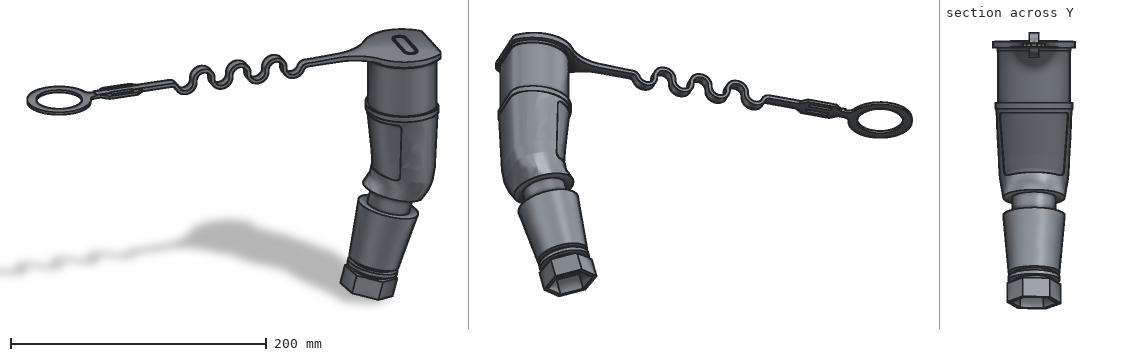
import cadquery as cq
import math


LID_RADIUS = 32.19
LID_FLAT = 23.1
LID_CORNER = 5.7
LID_THICKNESS = 4.8
LID_CREST_Y = -20.0
LID_REAR_DROP = 0.7
LID_SLOPE_END = -75.2
LID_FLARE_START = -55.0
SKIRT_DEPTH = 2.3
SKIRT_RADIUS = 28.8
BADGE_LENGTH = 36.0
BADGE_WIDTH = 11.0
BADGE_RIM = 1.2
BADGE_HEIGHT = 0.6
BADGE_Y = 0.9

STRAP_WIDTH = 7.6
STRAP_THICKNESS = 3.0
STRAP_MID_Z = -2.65
STRAP_TOP = STRAP_MID_Z + STRAP_THICKNESS / 2
STRAP_BOTTOM = STRAP_MID_Z - STRAP_THICKNESS / 2
WAVE_HEIGHT = 19.1
WAVE_CREST_RADIUS = 7.5
WAVE_PITCH = 4 * WAVE_CREST_RADIUS
WAVE_TROUGHS = 4
WAVE_CENTRE_Y = -138.0
WAVE_BEND_RADIUS = 5.0

LOOP_START = -219.3
LOOP_END = -254.0
LOOP_CHAMFER_LENGTH = 5.8
LOOP_HALF_WIDTH = 8.7
LOOP_THICKNESS = 2.4
SLOT_INNER_X = 2.5
SLOT_OUTER_X = 5.6
SLOT_LENGTH = 18.0
STRAP_END = -257.5
RING_THICKNESS = 2.2
RING_OUTER_RADIUS = 25.0
RING_INNER_RADIUS = 18.0
RING_FILLET = 5.0
OVERALL_LENGTH = 335.54
RING_CENTRE_Y = LID_FLAT - OVERALL_LENGTH + RING_OUTER_RADIUS

BODY_RADIUS = 28.2
BODY_FLAT = 22.1
COLLAR_TOP = -48.1
COLLAR_BOTTOM = -52.5
COLLAR_RADIUS = 30.2
COLLAR_FLAT = 23.1
BODY_CORNER = 14.0

TILT = 15.0
PIVOT_Z = -87.6
GRIP_TOP = (29.9, 29.5, 22.9, 17.0)
GRIP_BEND = (7.5, 27.6, 24.8, 23.3, 14.0)
GRIP_WAIST = (17.8, 26.9, 21.4, 24.0, 14.0)
GRIP_FLARE = (26.4, 25.5, 20.5, 23.8, 16.0)
GRIP_END = (35.7, 24.1, 24.1, 24.0, 23.9)
PANEL_DEPTH = 0.5
PANEL_TOP = -55.7
PANEL_SIDE_Y = -11.8
PANEL_BOTTOM = 20.6
PANEL_CORNER = 3.5

NECK_RADIUS = 17.0
CONE_TOP = 50.2
CONE_BOTTOM = 96.4
CONE_TOP_RADIUS = 24.2
CONE_BOTTOM_RADIUS = 20.0
CORE_RADIUS = 15.0
WASHER_TOP = 99.6
WASHER_BOTTOM = 102.6
WASHER_RADIUS = 20.0
NUT_TOP = 105.6
NUT_BOTTOM = 120.7
NUT_CORNER_RADIUS = 21.2
NUT_SOCKET_RADIUS = 18.2
NUT_ROOF = 2.0
NUT_TURN = 6.0


def tilted_plane(distance):
    """Plane square to the tail axis; local Y points to +Y and the normal points up the tail."""
    lean = math.radians(TILT)
    origin = (0, -distance * math.sin(lean), PIVOT_Z - distance * math.cos(lean))
    return cq.Plane(origin, (1, 0, 0), (0, math.sin(lean), math.cos(lean)))


def level_plane(z):
    return cq.Plane((0, 0, z), (1, 0, 0), (0, 0, 1))


def flatted_circle(plane, radius, flat, corner, centre_y=0):
    """Circle cut by a flat on its +Y side, with rounded corners tangent to both."""
    corner_x = math.sqrt((radius - corner) ** 2 - (flat - corner) ** 2)
    angle = math.atan2(flat - corner, corner_x)
    tangent_x = radius * math.cos(angle)
    tangent_y = radius * math.sin(angle)
    middle = (angle + math.pi / 2) / 2
    bulge_x = corner_x + corner * math.cos(middle)
    bulge_y = flat - corner + corner * math.sin(middle)
    return (
        cq.Workplane(plane)
        .center(0, centre_y)
        .moveTo(-corner_x, flat)
        .lineTo(corner_x, flat)
        .threePointArc((bulge_x, bulge_y), (tangent_x, tangent_y))
        .threePointArc((0, -radius), (-tangent_x, tangent_y))
        .threePointArc((-bulge_x, bulge_y), (-corner_x, flat))
        .close()
    )


def block(x_size, y_start, y_end, bottom, top):
    return (
        cq.Workplane("XY")
        .box(x_size, abs(y_end - y_start), top - bottom)
        .translate((0, (y_start + y_end) / 2, (bottom + top) / 2))
    )


def lid():
    disc = flatted_circle(level_plane(-LID_THICKNESS), LID_RADIUS, LID_FLAT, LID_CORNER)
    disc = disc.extrude(LID_THICKNESS)

    half = STRAP_WIDTH / 2
    flare_radius = (half**2 + LID_FLARE_START**2 - LID_RADIUS**2) / (2 * (LID_RADIUS - half))
    centre_x = half + flare_radius
    angle = math.atan2(LID_FLARE_START, centre_x)
    touch = (LID_RADIUS * math.cos(angle), LID_RADIUS * math.sin(angle))
    middle = math.pi + angle / 2
    bulge = (
        centre_x + flare_radius * math.cos(middle),
        LID_FLARE_START + flare_radius * math.sin(middle),
    )
    flare = (
        cq.Workplane("XY", origin=(0, 0, STRAP_BOTTOM))
        .moveTo(-half, LID_FLARE_START)
        .lineTo(half, LID_FLARE_START)
        .threePointArc(bulge, touch)
        .lineTo(-touch[0], touch[1])
        .threePointArc((-bulge[0], bulge[1]), (-half, LID_FLARE_START))
        .close()
        .extrude(-STRAP_BOTTOM)
    )
    thick_strap = block(STRAP_WIDTH, LID_FLARE_START, LID_SLOPE_END, STRAP_BOTTOM, 0)
    above_arch = (
        cq.Workplane("YZ")
        .moveTo(LID_FLAT, -LID_REAR_DROP)
        .threePointArc((LID_CREST_Y, 0), (LID_SLOPE_END, STRAP_TOP))
        .lineTo(LID_SLOPE_END, LID_THICKNESS)
        .lineTo(LID_FLAT, LID_THICKNESS)
        .close()
        .extrude(2 * LID_RADIUS, both=True)
    )
    plate = disc.union(flare).union(thick_strap).cut(above_arch)

    skirt_bottom = level_plane(-LID_THICKNESS - SKIRT_DEPTH)
    skirt = flatted_circle(skirt_bottom, SKIRT_RADIUS, BODY_FLAT + SKIRT_RADIUS - BODY_RADIUS, BODY_CORNER)
    return plate.union(skirt.extrude(SKIRT_DEPTH))


def badge():
    """Raised stadium-shaped rim on top of the lid, rooted just below its surface."""
    base = cq.Workplane("XY", origin=(0, BADGE_Y, -LID_REAR_DROP))
    height = LID_REAR_DROP + BADGE_HEIGHT
    outside = base.slot2D(BADGE_LENGTH, BADGE_WIDTH).extrude(height)
    inside = base.slot2D(BADGE_LENGTH - 2 * BADGE_RIM, BADGE_WIDTH - 2 * BADGE_RIM).extrude(height)
    return outside.cut(inside)


def strap():
    """Flat strip swept along a level line with a run of semicircular waves in the middle."""
    rise = (WAVE_HEIGHT - STRAP_THICKNESS) / 2
    crest_offset = rise - WAVE_CREST_RADIUS
    reach = WAVE_CREST_RADIUS + WAVE_BEND_RADIUS
    bend_offset = math.sqrt(reach**2 - (WAVE_BEND_RADIUS - crest_offset) ** 2)
    lean = math.asin((WAVE_BEND_RADIUS - crest_offset) / reach)
    trough_z = STRAP_MID_Z - crest_offset
    crest_z = STRAP_MID_Z + crest_offset
    bend_z = STRAP_MID_Z - WAVE_BEND_RADIUS
    first = WAVE_CENTRE_Y + WAVE_PITCH * (WAVE_TROUGHS - 1) / 2
    last = first - WAVE_PITCH * (WAVE_TROUGHS - 1)
    touch_y = WAVE_CREST_RADIUS * math.cos(lean)
    touch_z = trough_z - WAVE_CREST_RADIUS * math.sin(lean)
    half_turn = (math.pi / 2 + lean) / 2
    bulge_y = WAVE_BEND_RADIUS * math.sin(half_turn)
    bulge_z = bend_z + WAVE_BEND_RADIUS * math.cos(half_turn)

    path = cq.Workplane("YZ").moveTo(LID_FLARE_START, STRAP_MID_Z)
    path = path.lineTo(first + bend_offset, STRAP_MID_Z)
    path = path.threePointArc((first + bend_offset - bulge_y, bulge_z), (first + touch_y, touch_z))
    for index in range(WAVE_TROUGHS):
        trough = first - index * WAVE_PITCH
        bottom = (trough, STRAP_MID_Z - rise)
        if index == WAVE_TROUGHS - 1:
            path = path.threePointArc(bottom, (last - touch_y, touch_z))
            break
        crest = trough - WAVE_PITCH / 2
        path = path.threePointArc(bottom, (trough - WAVE_CREST_RADIUS, trough_z))
        path = path.lineTo(trough - WAVE_CREST_RADIUS, crest_z)
        path = path.threePointArc((crest, STRAP_MID_Z + rise), (crest - WAVE_CREST_RADIUS, crest_z))
        path = path.lineTo(crest - WAVE_CREST_RADIUS, trough_z)
    path = path.threePointArc((last - bend_offset + bulge_y, bulge_z), (last - bend_offset, STRAP_MID_Z))
    path = path.lineTo(STRAP_END, STRAP_MID_Z)

    profile = cq.Workplane("XZ", origin=(0, LID_FLARE_START, STRAP_MID_Z))
    return profile.rect(STRAP_WIDTH, STRAP_THICKNESS).sweep(path)


def add_loops(strip):
    """Chamfered wings on both sides of the strap, each with a long slot."""
    half = STRAP_WIDTH / 2
    middle_y = (LOOP_START + LOOP_END) / 2
    slot_x = (SLOT_INNER_X + SLOT_OUTER_X) / 2
    base = cq.Workplane("XY", origin=(0, 0, STRAP_BOTTOM))
    right_side = [
        (half, LOOP_START),
        (LOOP_HALF_WIDTH, LOOP_START - LOOP_CHAMFER_LENGTH),
        (LOOP_HALF_WIDTH, LOOP_END + LOOP_CHAMFER_LENGTH),
        (half, LOOP_END),
    ]
    left_side = [(-x, y) for x, y in reversed(right_side)]
    wings = base.polyline(right_side + left_side).close().extrude(LOOP_THICKNESS)
    slots = (
        base.pushPoints([(-slot_x, middle_y), (slot_x, middle_y)])
        .rect(SLOT_OUTER_X - SLOT_INNER_X, SLOT_LENGTH)
        .extrude(STRAP_THICKNESS)
    )
    return strip.union(wings).cut(slots)


def end_ring():
    outside = (
        cq.Workplane("XY", origin=(0, RING_CENTRE_Y, STRAP_BOTTOM))
        .circle(RING_OUTER_RADIUS)
        .extrude(RING_THICKNESS)
    )
    stub = block(STRAP_WIDTH, STRAP_END, RING_CENTRE_Y, STRAP_BOTTOM, STRAP_BOTTOM + RING_THICKNESS)
    half = STRAP_WIDTH / 2
    joint_y = RING_CENTRE_Y + math.sqrt(RING_OUTER_RADIUS**2 - half**2)
    bottom = STRAP_BOTTOM
    top = STRAP_BOTTOM + RING_THICKNESS
    joint = cq.selectors.BoxSelector((-2 * half, joint_y - half, bottom), (2 * half, joint_y + half, top))
    plate = outside.union(stub).edges("|Z").edges(joint).fillet(RING_FILLET)
    hole = (
        cq.Workplane("XY", origin=(0, RING_CENTRE_Y, STRAP_BOTTOM))
        .circle(RING_INNER_RADIUS)
        .extrude(RING_THICKNESS)
    )
    return plate.cut(hole)


def upper_body():
    barrel = flatted_circle(level_plane(COLLAR_BOTTOM), BODY_RADIUS, BODY_FLAT, BODY_CORNER)
    collar = flatted_circle(level_plane(COLLAR_BOTTOM), COLLAR_RADIUS, COLLAR_FLAT, BODY_CORNER)
    return barrel.extrude(-COLLAR_BOTTOM - LID_THICKNESS).union(collar.extrude(COLLAR_TOP - COLLAR_BOTTOM))


def grip_wire(plane, half_width, front, rear, corner, inset):
    centre_y = half_width - front
    flat = rear - centre_y - inset
    section = flatted_circle(plane, half_width - inset, flat, corner - inset, centre_y)
    return section.wire().val()


def grip(inset=0):
    """Tapered, bent hand grip; the inset shrinks every section."""
    top = grip_wire(level_plane(COLLAR_BOTTOM), *GRIP_TOP, inset)
    tilted_sections = [GRIP_BEND, GRIP_WAIST, GRIP_FLARE, GRIP_END]
    bend, waist, flare, end = [
        grip_wire(tilted_plane(distance), *sizes, inset) for distance, *sizes in tilted_sections
    ]
    taper = cq.Solid.makeLoft([top, bend, waist], True)
    mouth = cq.Solid.makeLoft([waist, flare, end], False)
    return cq.Workplane(taper).union(cq.Workplane(mouth))


def grip_panel():
    """Shallow recess with rounded corners that wraps the -Y side of the grip."""
    lean = math.radians(TILT)
    far_y = -2 * GRIP_TOP[1]

    def bottom_z(y):
        return PIVOT_Z - (PANEL_BOTTOM + y * math.sin(lean)) / math.cos(lean)

    outline = [
        (PANEL_SIDE_Y, PANEL_TOP),
        (PANEL_SIDE_Y, bottom_z(PANEL_SIDE_Y)),
        (far_y, bottom_z(far_y)),
        (far_y, PANEL_TOP),
    ]
    window = (
        cq.Workplane("YZ")
        .polyline(outline)
        .close()
        .extrude(2 * COLLAR_RADIUS, both=True)
        .edges("|X and >Y")
        .fillet(PANEL_CORNER)
    )
    return window.cut(grip(PANEL_DEPTH))


def tail_cylinder(top, bottom, radius):
    return cq.Workplane(tilted_plane(bottom)).circle(radius).extrude(bottom - top)


def nut_hexagon(corner_radius, height):
    """Hexagonal prism rising from the open end of the nut."""
    return (
        cq.Workplane(tilted_plane(NUT_BOTTOM))
        .transformed(rotate=(0, 0, NUT_TURN))
        .polygon(6, 2 * corner_radius)
        .extrude(height)
    )


def cable_gland():
    cone = (
        cq.Workplane(tilted_plane(CONE_BOTTOM))
        .circle(CONE_BOTTOM_RADIUS)
        .workplane(offset=CONE_BOTTOM - CONE_TOP)
        .circle(CONE_TOP_RADIUS)
        .loft()
    )
    neck = tail_cylinder(GRIP_END[0], CONE_TOP, NECK_RADIUS)
    core = tail_cylinder(CONE_BOTTOM, NUT_TOP, CORE_RADIUS)
    washer = tail_cylinder(WASHER_TOP, WASHER_BOTTOM, WASHER_RADIUS)
    nut_height = NUT_BOTTOM - NUT_TOP
    socket = nut_hexagon(NUT_SOCKET_RADIUS, nut_height - NUT_ROOF)
    nut = nut_hexagon(NUT_CORNER_RADIUS, nut_height).cut(socket)
    return cone.union(neck).union(core).union(washer).union(nut)


strap_with_ring = add_loops(strap()).union(end_ring())
connector = upper_body().union(grip().cut(grip_panel())).union(cable_gland())
result = connector.union(lid()).union(badge()).union(strap_with_ring)